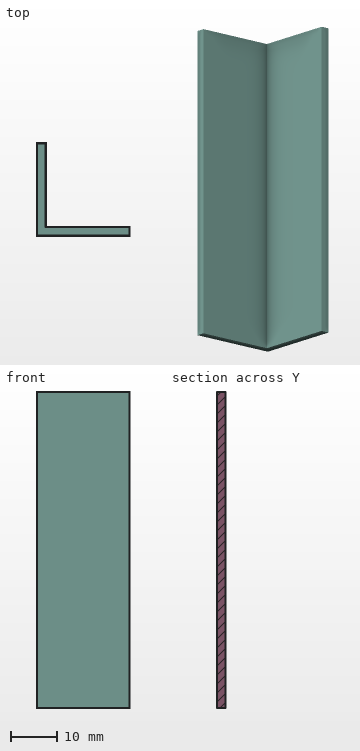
import cadquery as cq

length = 68.0
leg_width = 20.0
thickness = 2.0

section = [
    (0, 0),
    (leg_width, 0),
    (leg_width, thickness),
    (thickness, thickness),
    (thickness, leg_width),
    (0, leg_width),
]

result = cq.Workplane("XY").polyline(section).close().extrude(length)